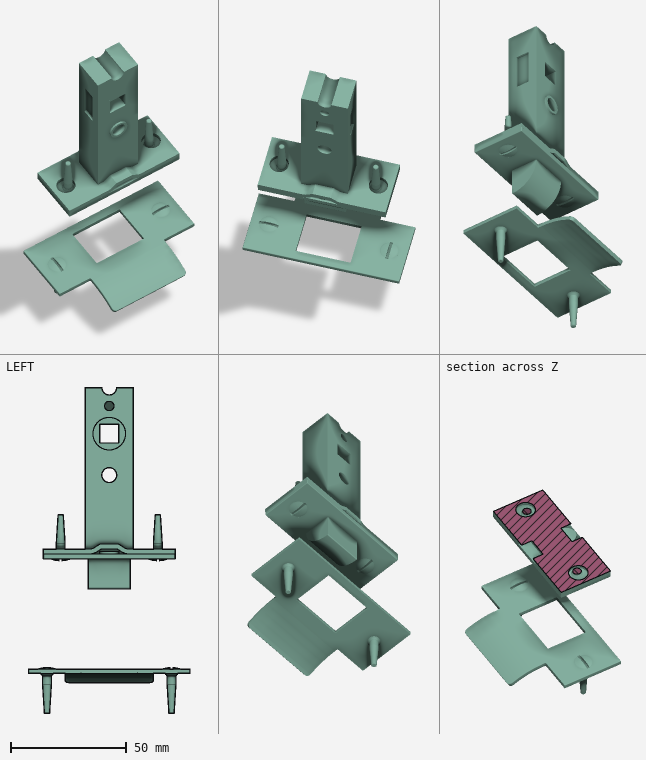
import cadquery as cq
import math


case_x = 14.8
case_y = 20.9
case_top = 72.0

groove_radius = 3.1
pilot_diameter = 4.1
pilot_depth = case_x / 2
pilot_z = case_top - 7.9
hub_diameter = 14.1
hub_z = case_top - 19.9
spindle_side = 8.0
bolt_hole_diameter = 6.4
bolt_hole_z = case_top - 37.8
boss_diameter = 8.6
boss_length = 0.8
window_x = 6.4
window_z = 16.8
window_depth = 1.1
window_top = case_top - 12.5

forend_x = 25.1
forend_y = 57.2
inner_forend_thickness = 2.1
outer_forend_thickness = 2.3
edge_round = 0.3

bridge_rise = 2.1
bridge_crest_half = 4.1
bridge_foot_half = 7.5
bridge_foot_radius = 3.4
bridge_angle = math.atan2(bridge_rise, bridge_foot_half - bridge_crest_half)
bridge_under_inset = inner_forend_thickness * math.tan(bridge_angle / 2)

stud_diameter = 8.6
stud_height = 1.1
stud_x = -case_x / 2

bolt_x = 13.0
bolt_y = 18.3
bolt_tip_round = 0.4

strike_x = 28.5
strike_y = 70.0
strike_thickness = 1.8
strike_center_x = 0.3
strike_top = -49.8
strike_hole_x = 19.2
strike_hole_y = 24.5
strike_hole_center_x = -0.3
lip_y = 38.1
lip_end_x = 33.2
lip_bend_x = 16.2
lip_radius = 35.3
lip_corner_radius = 1.8
lip_root_radius = 0.4

head_diameter = 8.8
head_dome = 0.7
head_rim = 0.35
dome_base = head_diameter / 2 - head_rim
dome_radius = (dome_base ** 2 + head_dome ** 2) / (2 * head_dome)
head_depth = 3.0
shank_diameter = 4.0
shank_end = 6.8
screw_length = 19.3
tip_diameter = 2.4
tip_bevel = 0.3
slot_width = 1.3
slot_depth = 1.3
forend_screw_y = 21.0
forend_clearance_y = 22.2
forend_clearance_diameter = 8.3
strike_screw_y = 27.0


def box(x_size, y_size, z_low, z_high, x=0.0, y=0.0):
    """Upright block centred on (x, y)."""
    block = cq.Workplane("XY", origin=(x, y, z_low)).rect(x_size, y_size)
    return block.extrude(z_high - z_low)


def cross_cylinder(diameter, z, x_start, length):
    """Cylinder along +X, starting at x_start, on the case centre plane."""
    return cq.Workplane("YZ", origin=(x_start, 0, z)).circle(diameter / 2).extrude(length)


def make_screw(x, y, z, upward, slot_angle):
    """Screw whose head seat lies at (x, y, z); the shank points up or down."""
    profile = (
        cq.Workplane("XZ")
        .moveTo(0, -head_dome)
        .radiusArc((dome_base, 0), -dome_radius)
        .lineTo(head_diameter / 2, 0)
        .lineTo(shank_diameter / 2, head_depth)
        .lineTo(shank_diameter / 2, shank_end)
        .lineTo(tip_diameter / 2, screw_length - tip_bevel)
        .lineTo(tip_diameter / 2 - tip_bevel, screw_length)
        .lineTo(0, screw_length)
        .close()
    )
    screw = profile.revolve(360, (0, 0, 0), (0, 1, 0))
    slot = box(2 * head_diameter, slot_width, -head_dome, slot_depth - head_dome)
    screw = screw.cut(slot.rotate((0, 0, 0), (0, 0, 1), slot_angle))
    if not upward:
        screw = screw.rotate((0, 0, 0), (1, 0, 0), 180)
    return screw.translate((x, y, z))


def screw_hole(x, y, z, upward):
    """Countersunk through hole that matches the head and shank of a screw."""
    cone = cq.Solid.makeCone(head_diameter / 2, shank_diameter / 2, head_depth)
    shank = cq.Solid.makeCylinder(shank_diameter / 2, shank_end)
    hole = cq.Workplane(cone).union(cq.Workplane(shank))
    if not upward:
        hole = hole.rotate((0, 0, 0), (1, 0, 0), 180)
    return hole.translate((x, y, z))


def make_inner_forend():
    """Plate that lifts over a bridge in the middle, with holes that clear the screws."""
    under_crest = bridge_crest_half - bridge_under_inset
    under_foot = bridge_foot_half - bridge_under_inset
    half_y = forend_y / 2
    crest_top = inner_forend_thickness + bridge_rise
    outline = [
        (-half_y, 0),
        (-under_foot, 0),
        (-under_crest, bridge_rise),
        (under_crest, bridge_rise),
        (under_foot, 0),
        (half_y, 0),
        (half_y, inner_forend_thickness),
        (bridge_foot_half, inner_forend_thickness),
        (bridge_crest_half, crest_top),
        (-bridge_crest_half, crest_top),
        (-bridge_foot_half, inner_forend_thickness),
        (-half_y, inner_forend_thickness),
    ]
    plate = cq.Workplane("YZ").polyline(outline).close().extrude(forend_x / 2, both=True)
    for side in (-1, 1):
        top_foot = cq.NearestToPointSelector((0, side * bridge_foot_half, inner_forend_thickness))
        plate = plate.edges(top_foot).fillet(bridge_foot_radius)
        lower_foot = cq.NearestToPointSelector((0, side * under_foot, 0))
        plate = plate.edges(lower_foot).fillet(bridge_foot_radius + inner_forend_thickness)
    clearance = (
        cq.Workplane("XY")
        .pushPoints([(0, -forend_clearance_y), (0, forend_clearance_y)])
        .circle(forend_clearance_diameter / 2)
        .extrude(inner_forend_thickness)
    )
    return plate.cut(clearance)


def make_stud():
    """Round stud that stands on the outer forend."""
    return cq.Workplane("XY", origin=(stud_x, 0, 0)).circle(stud_diameter / 2).extrude(stud_height)


def make_case():
    """Case block in one piece with the inner forend."""
    case = box(case_x, case_y, 0, case_top).union(make_inner_forend())
    case = case.union(cross_cylinder(boss_diameter, bolt_hole_z, case_x / 2, boss_length))
    case = case.cut(cross_cylinder(2 * groove_radius, case_top, -case_x / 2, case_x))
    case = case.cut(cross_cylinder(pilot_diameter, pilot_z, -case_x / 2, pilot_depth))
    case = case.cut(cross_cylinder(hub_diameter, hub_z, -case_x / 2, case_x))
    case = case.cut(cross_cylinder(bolt_hole_diameter, bolt_hole_z, -case_x / 2, case_x + boss_length))
    window_y = (window_depth - case_y) / 2
    window = box(window_x, window_depth, window_top - window_z, window_top, y=window_y)
    return case.cut(window).cut(make_stud())


def make_hub():
    """Round follower with a square spindle hole, flush with both sides of the case."""
    hub = cross_cylinder(hub_diameter, hub_z, -case_x / 2, case_x)
    half = spindle_side / 2
    return hub.cut(box(case_x, spindle_side, hub_z - half, hub_z + half))


def make_bolt():
    """Latch bolt with a quarter-round nose, butting against the case."""
    bolt = (
        cq.Workplane("XZ")
        .moveTo(-bolt_x / 2, 0)
        .lineTo(bolt_x / 2, 0)
        .lineTo(bolt_x / 2, -outer_forend_thickness)
        .radiusArc((-bolt_x / 2, -outer_forend_thickness - bolt_x), bolt_x)
        .close()
        .extrude(bolt_y / 2, both=True)
    )
    return bolt.edges("<Z").fillet(bolt_tip_round)


def make_outer_forend():
    """Flat plate with rounded outer edges, a bolt opening, a stud and screw holes."""
    plate = box(forend_x, forend_y, -outer_forend_thickness, 0)
    plate = plate.edges("<Z or |Z").fillet(edge_round)
    plate = plate.cut(box(bolt_x, bolt_y, -outer_forend_thickness, 0)).union(make_stud())
    for side in (-1, 1):
        plate = plate.cut(screw_hole(0, side * forend_screw_y, -outer_forend_thickness, upward=True))
    return plate


def make_lip():
    """Curved lip: an arc about an axis below the plate, its end cut along a radius."""
    end_angle = math.asin((lip_end_x - lip_bend_x) / lip_radius)
    inner_radius = lip_radius - strike_thickness
    axis_z = strike_top - lip_radius

    def on_arc(radius, angle):
        return (lip_bend_x + radius * math.sin(angle), axis_z + radius * math.cos(angle))

    lip = (
        cq.Workplane("XZ")
        .moveTo(*on_arc(lip_radius, 0))
        .threePointArc(on_arc(lip_radius, end_angle / 2), on_arc(lip_radius, end_angle))
        .lineTo(*on_arc(inner_radius, end_angle))
        .threePointArc(on_arc(inner_radius, end_angle / 2), on_arc(inner_radius, 0))
        .close()
        .extrude(lip_y / 2, both=True)
    )
    end_x, end_z = on_arc((lip_radius + inner_radius) / 2, end_angle)
    for side in (-1, 1):
        corner = cq.NearestToPointSelector((end_x, side * lip_y / 2, end_z))
        lip = lip.edges(corner).fillet(lip_corner_radius)

    top_x, top_z = on_arc(lip_radius, end_angle / 2)
    top_face = lip.faces(cq.NearestToPointSelector((top_x, 0, top_z)))
    return top_face.edges("not <X").fillet(edge_round)


def make_strike():
    """Flat plate with a bolt opening and a lip that curves down on the +X side."""
    strike_low = strike_top - strike_thickness
    plate = box(strike_x, strike_y, strike_low, strike_top, x=strike_center_x)
    plate = plate.edges("|Z and <X").fillet(edge_round)
    plate = plate.faces(">Z").edges("not >X").fillet(edge_round)

    right = strike_center_x + strike_x / 2
    tab = box(2 * (lip_bend_x - right), lip_y, strike_low, strike_top, x=right)
    strike = plate.union(tab)
    for side in (-1, 1):
        root = cq.NearestToPointSelector((right, side * lip_y / 2, strike_top - strike_thickness / 2))
        strike = strike.edges(root).fillet(lip_root_radius)
    strike = strike.union(make_lip())

    strike = strike.cut(box(strike_hole_x, strike_hole_y, strike_low, strike_top, x=strike_hole_center_x))
    for side in (-1, 1):
        strike = strike.cut(screw_hole(strike_center_x, side * strike_screw_y, strike_top, upward=False))
    return strike


case = make_case()
hub = make_hub()
bolt = make_bolt()
outer_forend = make_outer_forend()
strike = make_strike()
screws = []
for side, strike_slot_angle in ((-1, 0), (1, 90)):
    forend_seat = (0, side * forend_screw_y, -outer_forend_thickness)
    screws.append(make_screw(*forend_seat, upward=True, slot_angle=0))
    strike_seat = (strike_center_x, side * strike_screw_y, strike_top)
    screws.append(make_screw(*strike_seat, upward=False, slot_angle=strike_slot_angle))

result = cq.Compound.makeCompound([
    case.val(),
    hub.val(),
    bolt.val(),
    outer_forend.val(),
    strike.val(),
    *[screw.val() for screw in screws],
])